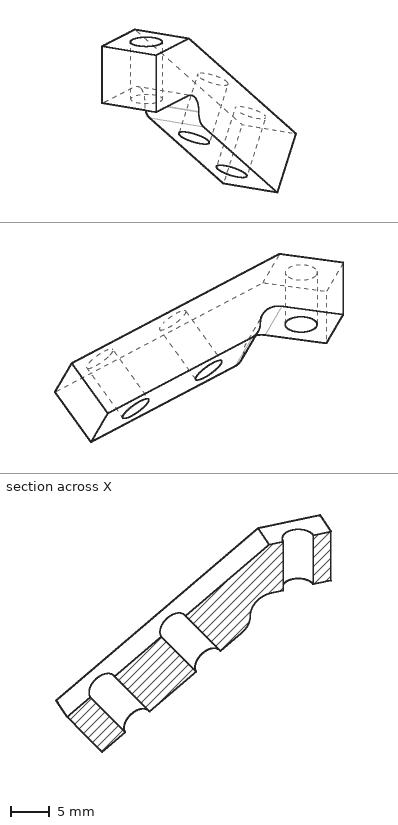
import cadquery as cq
import math

width = 8.0
length = 36.2
height = 26.75

block_height = 7.65
block_top_length = 8.5
step_y = 11.05
step_radius = 2.82

arm_angle = 36.0
slope = math.tan(math.radians(arm_angle))
arm_drop = (length - block_top_length) * slope
end_drop = height - arm_drop
arm_tip = (length, -arm_drop)
arm_heel = (length - end_drop * slope, -height)
step_bottom = (step_y, -height + (arm_heel[0] - step_y) * slope)

hole_diameter = 4.1
block_hole_y = 4.5
arm_hole_distances = (16.2, 28.23)


def make_body():
    """Bent bar with a rounded step on its underside, centred on X = 0."""
    body = (
        cq.Workplane("YZ")
        .moveTo(0, 0)
        .lineTo(block_top_length, 0)
        .lineTo(*arm_tip)
        .lineTo(*arm_heel)
        .lineTo(*step_bottom)
        .lineTo(step_y, -block_height)
        .lineTo(0, -block_height)
        .close()
        .extrude(width / 2, both=True)
    )
    inner_corner = cq.selectors.NearestToPointSelector((0, step_y, -block_height))
    outer_corner = cq.selectors.NearestToPointSelector((0, *step_bottom))
    body = body.edges("|X").edges(inner_corner).fillet(step_radius)
    return body.edges("|X").edges(outer_corner).fillet(step_radius)


def hole_cutter(y, z, tilt):
    """Drill centred on (y, z), tilted about X by the given angle."""
    return (
        cq.Workplane("XY")
        .circle(hole_diameter / 2)
        .extrude(height / 2, both=True)
        .rotate((0, 0, 0), (1, 0, 0), tilt)
        .translate((0, y, z))
    )


result = make_body().cut(hole_cutter(block_hole_y, 0, 0))
for distance in arm_hole_distances:
    hole_y = block_top_length + distance * math.cos(math.radians(arm_angle))
    hole_z = -distance * math.sin(math.radians(arm_angle))
    result = result.cut(hole_cutter(hole_y, hole_z, -arm_angle))